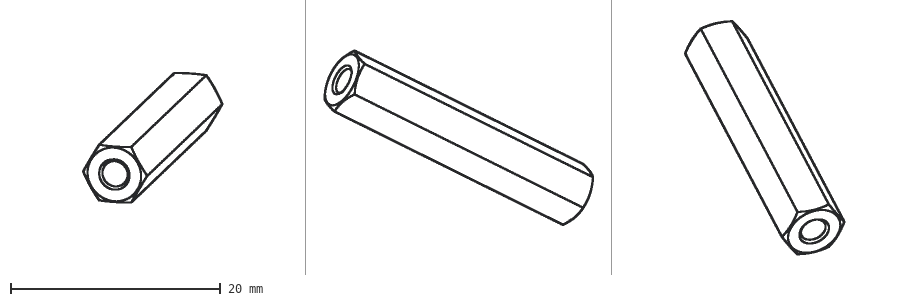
import cadquery as cq
import math

length = 28.0
across_flats = 5.5
across_corners = across_flats / math.cos(math.radians(30))

end_face_diameter = 5.3
end_chamfer_angle = 30.0

hole_diameter = 2.5
hole_depth = 10.0
drill_tip_angle = 118.0
mouth_diameter = 3.0
mouth_angle = 90.0


def make_hexagon_bar():
    """Hexagonal bar centred on the origin, with two corners on the X axis."""
    return cq.Workplane("XZ").polygon(6, across_corners).extrude(length / 2, both=True)


def make_chamfer_envelope():
    """Round bar with coned ends that trims the hexagon corners."""
    face_radius = end_face_diameter / 2
    corner_radius = across_corners / 2
    chamfer_length = (corner_radius - face_radius) * math.tan(math.radians(end_chamfer_angle))
    shoulder = length / 2 - chamfer_length
    profile = [
        (0, -length / 2),
        (face_radius, -length / 2),
        (corner_radius, -shoulder),
        (corner_radius, shoulder),
        (face_radius, length / 2),
        (0, length / 2),
    ]
    return cq.Workplane("XY").polyline(profile).close().revolve(360, (0, 0), (0, 1))


def make_hole_cutter():
    """Drill shape entering from the -Y end."""
    hole_radius = hole_diameter / 2
    mouth_radius = mouth_diameter / 2
    mouth_depth = (mouth_radius - hole_radius) / math.tan(math.radians(mouth_angle / 2))
    tip_length = hole_radius / math.tan(math.radians(drill_tip_angle / 2))
    end_y = -length / 2
    profile = [
        (0, end_y),
        (mouth_radius, end_y),
        (hole_radius, end_y + mouth_depth),
        (hole_radius, end_y + hole_depth),
        (0, end_y + hole_depth + tip_length),
    ]
    return cq.Workplane("XY").polyline(profile).close().revolve(360, (0, 0), (0, 1))


hole_cutter = make_hole_cutter()
result = (
    make_hexagon_bar()
    .intersect(make_chamfer_envelope())
    .cut(hole_cutter)
    .cut(hole_cutter.mirror("XZ"))
)